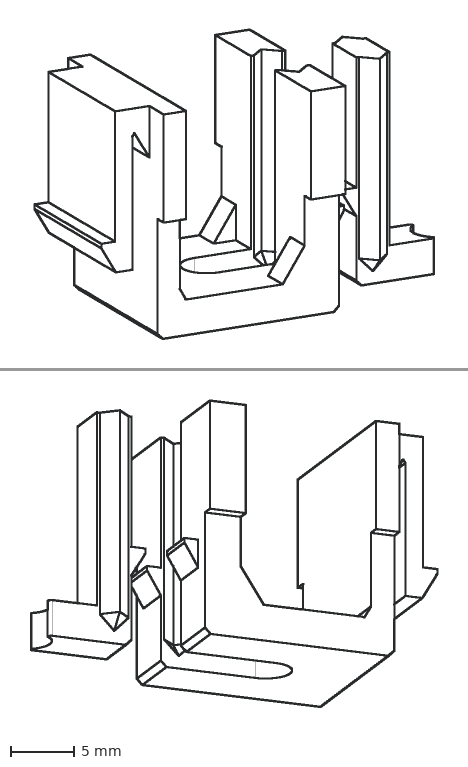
import cadquery as cq


total_height = 19.0
floor_thickness = 2.97
bottom_chamfer = 0.47
catch_top = 8.2
catch_lip = 0.38
catch_slope = 1.65

body_width = 14.38
shoulder_width = 16.5
shoulder_bottom = 10.02
body_length = 16.15
front_wall = 2.0
rear_wall = 3.05
front_bevel_run = 0.55
front_bevel_rise = 0.95
gusset_width = 2.5
gusset_run = 1.95
gusset_rise = 2.95

tongue_width = 11.53
tongue_gap = 1.52
tongue_thickness = 1.52
tongue_bottom = 5.62
tongue_catch_reach = 1.23
tongue_foot = 1.45
neck_side_height = 14.73
neck_peak_height = 16.95
neck_peak_width = 0.2
neck_corner_drop = 0.3
rear_catch_reach = 1.17

slot_width = 4.2
slot_end_y = 5.97

slider_width = 4.1
slider_front_y = 20.32
slider_depth = 2.97
slider_catch_reach = 1.2
foot_back_y = 27.33
foot_scoop_depth = 0.9
foot_scoop_width = 3.4
foot_corner_radius = 0.25

ridge_height = 1.17
ridge_half_base = 1.23
ridge_bottom = 2.28
ridge_tip_bottom = 1.05
groove_depth = 1.17
groove_half_base = 1.25
groove_bottom = ridge_bottom
groove_tip_bottom = ridge_tip_bottom
groove_y = body_length - rear_wall / 2


def extrude_across(points, width):
    """Solid with a (Y, Z) outline, centred on X = 0."""
    return cq.Workplane("YZ").polyline(points).close().extrude(width / 2, both=True)


def centred_box(width, y_start, y_end, z_start, z_end):
    """Box centred on X = 0."""
    size = (width, y_end - y_start, z_end - z_start)
    return cq.Workplane("XY").box(*size, centered=(True, False, False)).translate((0, y_start, z_start))


def catch(face_y, reach, width):
    """Catch with a flat top that stands out of the face at face_y; a negative reach points to -Y."""
    outline = [
        (face_y, catch_top),
        (face_y + reach, catch_top),
        (face_y + reach, catch_top - catch_lip),
        (face_y, catch_top - catch_lip - catch_slope * abs(reach)),
    ]
    return extrude_across(outline, width)


def guide(side, wall_x, centre_y, depth, half_base, straight_bottom, tip_bottom):
    """Upright V-shaped bar leaning outward from wall_x, with a pyramid at its lower end."""
    base_x = side * wall_x
    apex_x = side * (wall_x + depth)
    triangle = [(base_x, centre_y - half_base), (apex_x, centre_y), (base_x, centre_y + half_base)]
    bar = (
        cq.Workplane("XY", origin=(0, 0, straight_bottom))
        .polyline(triangle)
        .close()
        .extrude(total_height - straight_bottom)
    )
    corners = [cq.Vector(x, y, straight_bottom) for x, y in triangle]
    tip = cq.Vector(base_x, centre_y, tip_bottom)
    outlines = [corners] + [[corners[i], corners[(i + 1) % 3], tip] for i in range(3)]
    faces = [cq.Face.makeFromWires(cq.Wire.makePolygon(outline, close=True)) for outline in outlines]
    pyramid = cq.Solid.makeSolid(cq.Shell.makeShell(faces))
    return bar.union(cq.Workplane(pyramid))


def make_frame():
    """Floor with a front and a rear wall, beveled along the lower edges."""
    rear_inner_y = body_length - rear_wall
    outline = [
        (bottom_chamfer, 0),
        (body_length - bottom_chamfer, 0),
        (body_length, bottom_chamfer),
        (body_length, total_height),
        (rear_inner_y, total_height),
        (rear_inner_y, floor_thickness),
        (front_wall + front_bevel_run, floor_thickness),
        (front_wall, floor_thickness + front_bevel_rise),
        (front_wall, total_height),
        (0, total_height),
        (0, bottom_chamfer),
    ]
    frame = extrude_across(outline, body_width)
    for y_start, y_end in ((0, front_wall), (rear_inner_y, body_length)):
        frame = frame.union(centred_box(shoulder_width, y_start, y_end, shoulder_bottom, total_height))
    return frame


def make_gussets():
    """Pair of sloped gussets between the floor and the rear wall."""
    corner_y = body_length - rear_wall
    outline = [
        (corner_y, floor_thickness),
        (corner_y - gusset_run, floor_thickness),
        (corner_y, floor_thickness + gusset_rise),
    ]
    gussets = extrude_across(outline, body_width)
    middle = centred_box(body_width - 2 * gusset_width, 0, body_length, 0, total_height)
    return gussets.cut(middle)


def make_tongue():
    """Spring tongue hanging from the top of the front wall, with a catch at its lower end."""
    inner_y = -tongue_gap
    outer_y = inner_y - tongue_thickness
    tip_y = outer_y - tongue_catch_reach
    outline = [
        (0, total_height),
        (outer_y, total_height),
        (outer_y, catch_top),
        (tip_y, catch_top),
        (tip_y, catch_top - catch_lip),
        (inner_y - tongue_foot, tongue_bottom),
        (inner_y, tongue_bottom),
        (inner_y, neck_peak_height - neck_corner_drop),
        (inner_y + neck_peak_width, neck_peak_height),
        (0, neck_side_height),
    ]
    return extrude_across(outline, tongue_width)


def make_slot():
    """Round-ended slot, open to the back, with a guide groove on each side."""
    radius = slot_width / 2
    centre_y = slot_end_y + radius
    slot = centred_box(slot_width, centre_y, body_length + rear_catch_reach, 0, total_height)
    slot = slot.union(cq.Workplane("XY").center(0, centre_y).circle(radius).extrude(total_height))
    for side in (-1, 1):
        groove = guide(
            side, radius, groove_y, groove_depth, groove_half_base, groove_bottom, groove_tip_bottom
        )
        slot = slot.union(groove)
    return slot


def make_housing():
    housing = make_frame().union(make_gussets()).union(make_tongue())
    housing = housing.union(catch(body_length, rear_catch_reach, tongue_width))
    return housing.cut(make_slot())


def make_slider():
    """L-shaped slider with a scooped foot, a front catch and two guide ridges."""
    back_y = slider_front_y + slider_depth
    outline = [
        (slider_front_y + bottom_chamfer, 0),
        (foot_back_y, 0),
        (foot_back_y, floor_thickness),
        (back_y, floor_thickness),
        (back_y, total_height),
        (slider_front_y, total_height),
        (slider_front_y, bottom_chamfer),
    ]
    slider = extrude_across(outline, slider_width)
    slider = slider.faces(">Y").edges("|Z").fillet(foot_corner_radius)
    scoop = (
        cq.Workplane("XY")
        .moveTo(-foot_scoop_width / 2, foot_back_y)
        .threePointArc((0, foot_back_y - foot_scoop_depth), (foot_scoop_width / 2, foot_back_y))
        .close()
        .extrude(floor_thickness)
    )
    slider = slider.cut(scoop).union(catch(slider_front_y, -slider_catch_reach, slider_width))
    ridge_y = slider_front_y + slider_depth / 2
    for side in (-1, 1):
        ridge = guide(
            side, slider_width / 2, ridge_y, ridge_height, ridge_half_base, ridge_bottom, ridge_tip_bottom
        )
        slider = slider.union(ridge)
    return slider


housing = make_housing()
slider = make_slider()

result = cq.Compound.makeCompound([housing.solids().val(), slider.solids().val()])